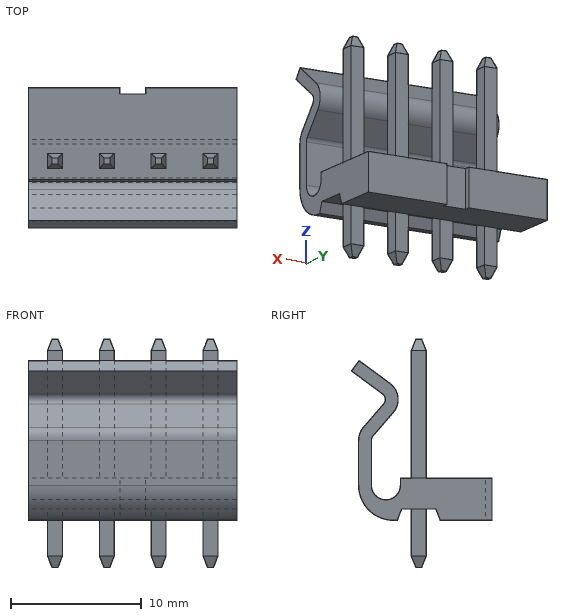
import cadquery as cq
import math


length = 15.95
back_y = 5.6
base_height = 3.23

wall_thickness = 1.0
wall_front_y = -4.6
inner_bend_radius = 0.52
outer_bend_radius = inner_bend_radius + wall_thickness
bend_y = wall_front_y + outer_bend_radius
lower_bend_z = 6.12
upper_bend_z = 9.25
lip_angle = 36.5
lip_end_y = -5.15

slot_radius = 1.1
slot_front_y = wall_front_y + wall_thickness
slot_center_y = slot_front_y + slot_radius
slot_back_y = slot_center_y + slot_radius
slot_center_z = 2.69
heel_radius = slot_center_z

relief_depth = 0.87
relief_top_width = 2.6
relief_bottom_width = 3.28

notch_width = 1.95
notch_depth = 0.49

pin_count = 4
pin_pitch = 3.96
pin_width = 1.15
pin_tip_width = 0.45
pin_taper_length = 0.87
pin_length = 17.45
pin_bottom_z = -3.6


def bend_point(center_z, radius, angle):
    """Point (y, z) on a bend; the angle in degrees runs from +Y towards +Z."""
    a = math.radians(angle)
    return (bend_y + radius * math.cos(a), center_z + radius * math.sin(a))


def make_body():
    """Base, slot and locking wall as one profile extruded along X."""
    bend_spacing = upper_bend_z - lower_bend_z
    lean = math.degrees(math.asin((inner_bend_radius + outer_bend_radius) / bend_spacing))

    lower_start = 180
    lower_end = lower_start - lean
    lower_mid = (lower_start + lower_end) / 2
    upper_start = -lean
    upper_end = 90 - lip_angle
    upper_mid = (upper_start + upper_end) / 2

    lip_slope = math.radians(lip_angle)
    lip_root_y, lip_root_z = bend_point(upper_bend_z, inner_bend_radius, upper_end)
    lip_end_z = lip_root_z + (lip_root_y - lip_end_y) * math.tan(lip_slope)
    lip_top_y = lip_end_y + wall_thickness * math.sin(lip_slope)
    lip_top_z = lip_end_z + wall_thickness * math.cos(lip_slope)

    heel_center_y = wall_front_y + heel_radius
    heel_mid = heel_radius * math.sqrt(0.5)

    profile = (
        cq.Workplane("YZ")
        .moveTo(back_y, 0)
        .lineTo(back_y, base_height)
        .lineTo(slot_back_y, base_height)
        .lineTo(slot_back_y, slot_center_z)
        .threePointArc((slot_center_y, slot_center_z - slot_radius), (slot_front_y, slot_center_z))
        .lineTo(*bend_point(lower_bend_z, inner_bend_radius, lower_start))
        .threePointArc(
            bend_point(lower_bend_z, inner_bend_radius, lower_mid),
            bend_point(lower_bend_z, inner_bend_radius, lower_end),
        )
        .lineTo(*bend_point(upper_bend_z, outer_bend_radius, upper_start))
        .threePointArc(
            bend_point(upper_bend_z, outer_bend_radius, upper_mid),
            bend_point(upper_bend_z, outer_bend_radius, upper_end),
        )
        .lineTo(lip_top_y, lip_top_z)
        .lineTo(lip_end_y, lip_end_z)
        .lineTo(lip_root_y, lip_root_z)
        .threePointArc(
            bend_point(upper_bend_z, inner_bend_radius, upper_mid),
            bend_point(upper_bend_z, inner_bend_radius, upper_start),
        )
        .lineTo(*bend_point(lower_bend_z, outer_bend_radius, lower_end))
        .threePointArc(
            bend_point(lower_bend_z, outer_bend_radius, lower_mid),
            bend_point(lower_bend_z, outer_bend_radius, lower_start),
        )
        .lineTo(wall_front_y, slot_center_z)
        .threePointArc(
            (heel_center_y - heel_mid, slot_center_z - heel_mid),
            (heel_center_y, 0),
        )
        .close()
    )
    return profile.extrude(length / 2, both=True)


def make_relief():
    """Trapezoidal groove along the underside, wider at its mouth."""
    return (
        cq.Workplane("YZ")
        .moveTo(-relief_bottom_width / 2, 0)
        .lineTo(-relief_top_width / 2, relief_depth)
        .lineTo(relief_top_width / 2, relief_depth)
        .lineTo(relief_bottom_width / 2, 0)
        .close()
        .extrude(length / 2, both=True)
    )


def make_notch():
    """Key notch through the full height of the back face."""
    return (
        cq.Workplane("XY", origin=(0, back_y - notch_depth / 2, 0))
        .rect(notch_width, notch_depth)
        .extrude(base_height)
    )


def make_pin():
    """Square pin with a tapered tip at each end, standing on the Z axis."""
    shank_length = pin_length - 2 * pin_taper_length
    shank_bottom_z = pin_bottom_z + pin_taper_length
    taper_angle = math.degrees(math.atan((pin_width - pin_tip_width) / 2 / pin_taper_length))
    shank = (
        cq.Workplane("XY", origin=(0, 0, shank_bottom_z))
        .rect(pin_width, pin_width)
        .extrude(shank_length)
    )
    top_tip = (
        cq.Workplane("XY", origin=(0, 0, shank_bottom_z + shank_length))
        .rect(pin_width, pin_width)
        .extrude(pin_taper_length, taper=taper_angle)
    )
    bottom_tip = top_tip.mirror("XY", (0, 0, shank_bottom_z + shank_length / 2))
    return shank.union(top_tip).union(bottom_tip)


result = make_body().cut(make_relief()).cut(make_notch())
pin = make_pin()
for index in range(pin_count):
    pin_x = (index - (pin_count - 1) / 2) * pin_pitch
    result = result.union(pin.translate((pin_x, 0, 0)))